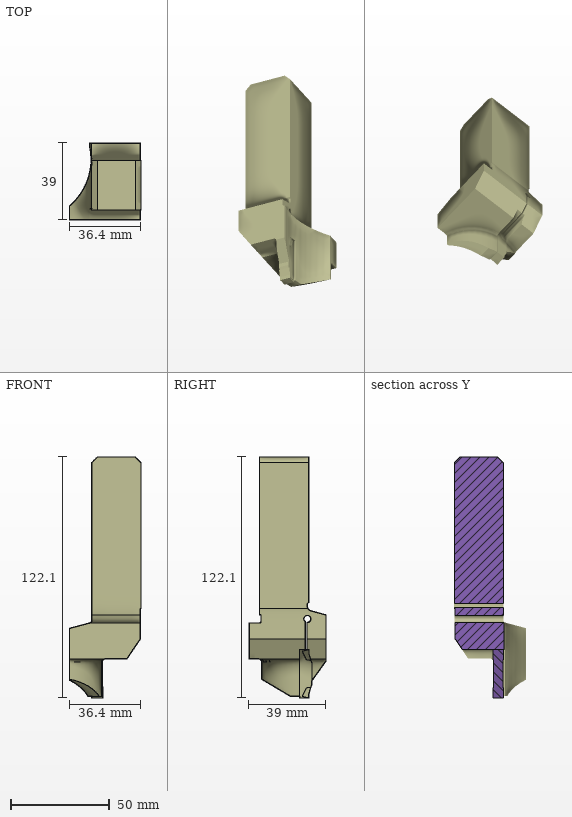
import cadquery as cq
import math

height = 122.1
width = 36.4
depth = 39.0

shank_left = 11.4
shank_front = 5.1
shank_back = 30.2
shank_chamfer = 2.9
side_relief = 0.4
side_relief_top = 45.3
neck_front = 5.9
neck_front_top = 42.1
neck_back = 29.4
neck_back_top = 48.5
neck_radius = 0.5

head_bottom = 19.8
head_front_top = 38.1
shoulder_angle = math.radians(15)
shoulder_left_top = 35.3
shoulder_radius = 1.2
back_top = 42.1
back_radius = 2.6
head_corner_x = 29.2
head_corner_z = 29.9

blade_bottom = 0.9
blade_front = 6.2
blade_right = 16.7
blade_outer_radius = 24.4
blade_root_radius = 1.5
front_slope_start = 20.9
front_slope_angle = math.radians(30.7)
clamp_back_bottom = 18.8
clamp_tip_z = 8.8

clearance_radius = 30.8
clearance_x = 11.0
clearance_y = 30.5
clearance_end_y = 37.2
clearance_end_x = 10.3

insert_front = 25.5
insert_back = 31.7
insert_top = 24.5
insert_left = 11.2
insert_right = 17.0
insert_edge_y = 30.2
rake_depth = 31.3
rake_start = 1.8
rake_length = 5.5
rake_runout = 6.8
side_clearance = 0.2
flank_inner_y = 29.0
flank_inner_z = 5.1
flank_outer_y = 26.9
flank_land = 0.9

slit_center = 28.8
slit_width = 0.7
slit_hole_y = 29.4
slit_hole_z = 40.0
slit_hole_radius = 1.7


def front_block():
    """Outline in XZ of shank and head, through the whole depth."""
    right = width - side_relief
    shoulder_top = shoulder_left_top + shank_left * math.tan(shoulder_angle)
    outline = [
        (0, head_bottom),
        (head_corner_x, head_bottom),
        (right, head_corner_z),
        (right, side_relief_top),
        (width, side_relief_top),
        (width, height - shank_chamfer),
        (width - shank_chamfer, height),
        (shank_left + shank_chamfer, height),
        (shank_left, height - shank_chamfer),
        (shank_left, shoulder_top),
        (0, shoulder_left_top),
    ]
    block = cq.Workplane("XZ").polyline(outline).close().extrude(-depth)
    shoulder = cq.selectors.NearestToPointSelector((shank_left, depth / 2, shoulder_top))
    return block.edges(shoulder).fillet(shoulder_radius)


def side_block():
    """Outline in YZ of shank and head, through the whole width."""
    neck_step = shank_back - neck_back
    back_slope_top = back_top + (depth - neck_back) * math.tan(shoulder_angle)
    outline = [
        (0, head_bottom),
        (0, head_front_top),
        (neck_front, head_front_top),
        (neck_front, neck_front_top),
        (shank_front, neck_front_top),
        (shank_front, height),
        (shank_back, height),
        (shank_back, neck_back_top),
        (neck_back, neck_back_top - neck_step),
        (neck_back, back_slope_top),
        (depth, back_top),
        (depth, head_bottom),
    ]
    block = cq.Workplane("YZ").polyline(outline).close().extrude(width)
    middle = width / 2
    back_corner = cq.selectors.NearestToPointSelector((middle, neck_back, back_slope_top))
    front_corner = cq.selectors.NearestToPointSelector((middle, neck_front, head_front_top))
    return block.edges(back_corner).fillet(back_radius).edges(front_corner).fillet(neck_radius)


def blade():
    """Blade under the head, with a convex outer face and sloped underside."""
    center_x = blade_right - blade_outer_radius
    center_y = blade_front + math.sqrt(blade_outer_radius**2 - center_x**2)
    end_x = center_x + math.sqrt(blade_outer_radius**2 - (depth - center_y)**2)
    plan = (
        cq.Workplane("XY").workplane(offset=blade_bottom)
        .moveTo(0, blade_front)
        .threePointArc((blade_right, center_y), (end_x, depth))
        .lineTo(0, depth)
        .close()
        .extrude(head_bottom - blade_bottom)
    )
    slope_top = blade_bottom + front_slope_start * math.tan(front_slope_angle)
    side = [
        (0, slope_top),
        (front_slope_start, blade_bottom),
        (insert_back, blade_bottom),
        (insert_back, clamp_tip_z),
        (depth, clamp_back_bottom),
        (depth, head_bottom),
        (0, head_bottom),
    ]
    return plan.intersect(cq.Workplane("YZ").polyline(side).close().extrude(width))


def fillet_blade_root(body):
    """Round the corner between the blade's outer face and the head."""
    root = cq.selectors.NearestToPointSelector((blade_right / 2, blade_front + 2.5, head_bottom))
    return body.edges("%CIRCLE").edges(root).fillet(blade_root_radius)


def clearance():
    """Cylindrical hollow along Z, ended by a flat near the back."""
    hollow = cq.Workplane("XY").center(clearance_x - clearance_radius, clearance_y)
    hollow = hollow.circle(clearance_radius).extrude(height / 2)
    limit = cq.Workplane("XY").box(width, clearance_end_y, height / 2, centered=False)
    flat = (
        cq.Workplane("XY")
        .box(clearance_end_x, depth - clearance_end_y, height / 2, centered=False)
        .translate((0, clearance_end_y, 0))
    )
    return hollow.intersect(limit).union(flat)


def slit():
    """Slit from the insert pocket up to a relief hole, both through in X."""
    gap = (
        cq.Workplane("XY")
        .box(width, slit_width, slit_hole_z - insert_top, centered=False)
        .translate((0, slit_center - slit_width / 2, insert_top))
    )
    hole = cq.Workplane("YZ").center(slit_hole_y, slit_hole_z).circle(slit_hole_radius).extrude(width)
    return gap.union(hole)


def insert_profile():
    """Outline in YZ of the double-ended insert, the same at both ends."""
    return [
        (insert_front, 0),
        (insert_edge_y, 0),
        (insert_edge_y, rake_start),
        (rake_depth, rake_length),
        (insert_back, rake_runout),
        (insert_back, insert_top - rake_runout),
        (rake_depth, insert_top - rake_length),
        (insert_edge_y, insert_top - rake_start),
        (insert_edge_y, insert_top),
        (insert_front, insert_top),
    ]


def pocket():
    """Seat matching the insert, through in X and open below the lower tip."""
    seat = cq.Workplane("YZ").polyline(insert_profile()).close().extrude(width)
    opening = (
        cq.Workplane("XY")
        .box(width, insert_back - insert_front, insert_top / 2, centered=False)
        .translate((0, insert_front, 0))
    )
    return seat.union(opening)


def make_holder():
    body = front_block().intersect(side_block()).union(blade())
    body = fillet_blade_root(body)
    return body.cut(clearance()).cut(slit()).cut(pocket())


def make_insert():
    """Double-ended insert: narrow waist and a full-width cutting tip at each end."""
    flank = [
        (flank_outer_y, flank_land),
        (insert_edge_y, 0),
        (insert_edge_y, rake_start),
        (rake_depth, rake_length),
        (flank_inner_y, flank_inner_z),
    ]
    waist_left = insert_left + side_clearance
    waist_right = insert_right - side_clearance
    insert = cq.Workplane("YZ", origin=(waist_left, 0, 0)).polyline(insert_profile()).close()
    insert = insert.extrude(waist_right - waist_left)
    bottom_tip = cq.Workplane("YZ", origin=(insert_left, 0, 0)).polyline(flank).close()
    bottom_tip = bottom_tip.extrude(insert_right - insert_left)
    top_tip = bottom_tip.mirror("XY", (0, 0, insert_top / 2))
    return insert.union(bottom_tip).union(top_tip)


holder = make_holder()
insert = make_insert()
result = cq.Compound.makeCompound([holder.val(), insert.val()])